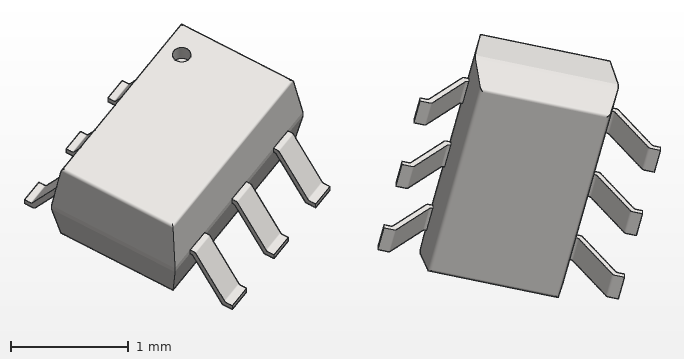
import cadquery as cq
import math

SPAN_X = 2.1
BODY_X = 1.25
BODY_Y = 2.0
TOP_Z = 1.0
STANDOFF = 0.1

BAND_MID_Z = TOP_Z / 2
LEAD_THICKNESS = 0.052
TAPER_INSET = 0.06
EDGE_RADIUS = 0.032

MARK_DIAMETER = 0.155
MARK_X = -0.375
MARK_Y = 0.65
MARK_DEPTH = 0.15

LEADS_PER_SIDE = 3
LEAD_PITCH = 0.65
LEAD_WIDTH = 0.225
FOOT_LENGTH = 0.071
SHOULDER_LENGTH = 0.05
BEND_RADIUS = 0.025

band_bottom = BAND_MID_Z - LEAD_THICKNESS / 2
band_top = BAND_MID_Z + LEAD_THICKNESS / 2


def tapered_block(start_z, end_z):
    """Extrude the full body outline from start_z to end_z, narrowing by the taper inset."""
    height = end_z - start_z
    taper_angle = math.degrees(math.atan(TAPER_INSET / abs(height)))
    return (
        cq.Workplane("XY", origin=(0, 0, start_z))
        .rect(BODY_X, BODY_Y)
        .extrude(height, taper=taper_angle)
    )


def make_body():
    """Moulded body with rounded end-face edges and the pin 1 mark."""
    band = (
        cq.Workplane("XY", origin=(0, 0, band_bottom))
        .rect(BODY_X, BODY_Y)
        .extrude(LEAD_THICKNESS)
    )
    body = band.union(tapered_block(band_top, TOP_Z)).union(tapered_block(band_bottom, STANDOFF))
    body = body.faces("<Z or >Z").edges().fillet(EDGE_RADIUS)
    mark = (
        cq.Workplane("XY", origin=(MARK_X, MARK_Y, TOP_Z))
        .circle(MARK_DIAMETER / 2)
        .extrude(-MARK_DEPTH)
    )
    return body.cut(mark)


def make_lead(side, y):
    """Gull-wing lead on the -X (side = -1) or +X (side = 1) wall, centred at y."""
    tip_x = SPAN_X / 2
    wall_x = BODY_X / 2
    foot_bend_x = tip_x - FOOT_LENGTH
    shoulder_bend_x = wall_x + SHOULDER_LENGTH
    slope_angle = math.atan2(band_top - LEAD_THICKNESS, foot_bend_x - shoulder_bend_x)
    mitre = LEAD_THICKNESS * math.tan(slope_angle / 2)

    upper_foot = (side * foot_bend_x, LEAD_THICKNESS)
    lower_foot = (side * (foot_bend_x - mitre), 0)
    upper_shoulder = (side * shoulder_bend_x, band_top)
    lower_shoulder = (side * (shoulder_bend_x - mitre), band_bottom)
    lead = (
        cq.Workplane("XZ", origin=(0, y + LEAD_WIDTH / 2, 0))
        .polyline([
            (side * tip_x, 0),
            (side * tip_x, LEAD_THICKNESS),
            upper_foot,
            upper_shoulder,
            (side * wall_x, band_top),
            (side * wall_x, band_bottom),
            lower_shoulder,
            lower_foot,
        ])
        .close()
        .extrude(LEAD_WIDTH)
    )

    for corner_x, corner_z in (upper_foot, lower_foot, upper_shoulder, lower_shoulder):
        bend_edge = cq.selectors.NearestToPointSelector((corner_x, y, corner_z))
        lead = lead.edges("|Y").edges(bend_edge).fillet(BEND_RADIUS)
    return lead


body = make_body()

leads = []
for side in (-1, 1):
    for index in range(LEADS_PER_SIDE):
        lead_y = (index - (LEADS_PER_SIDE - 1) / 2) * LEAD_PITCH
        leads.append(make_lead(side, lead_y).val())

result = cq.Compound.makeCompound([body.val(), *leads])